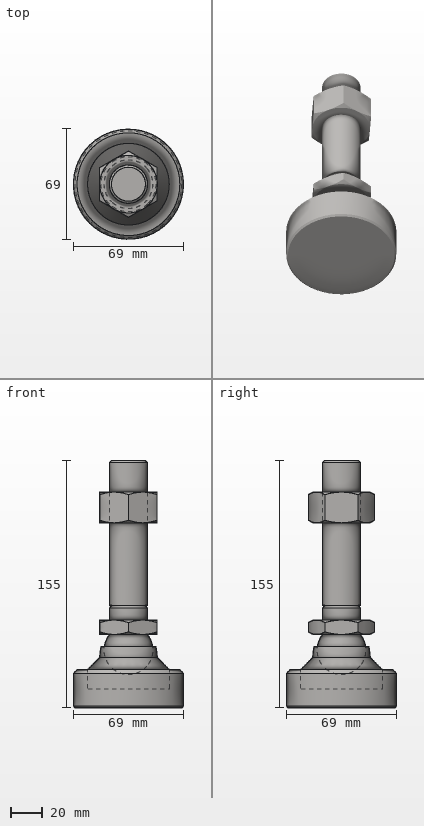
import cadquery as cq
import math

PAD_RADIUS = 69.0 / 2
PAD_HEIGHT = 24.0
PAD_TOP_CHAMFER = 2.3
PAD_BOTTOM_CHAMFER = 1.1

SOCKET_BASE_RADIUS = 25.5
COLLAR_BASE_RADIUS = 18.1
COLLAR_BASE_Z = 31.6
COLLAR_TOP_RADIUS = 17.2
COLLAR_TOP_Z = 38.5
COLLAR_BULGE = 0.2
SOCKET_BOTTOM_Z = PAD_HEIGHT / 2

BALL_RADIUS = 15.3
BALL_CENTER_Z = 36.3
STUD_RADIUS = 24.0 / 2
STUD_TOP_Z = 155.0
STUD_CHAMFER = 1.4
GROOVE_BOTTOM_Z = 62.5
GROOVE_WIDTH = 1.7
GROOVE_DEPTH = 1.4

HEX_ACROSS_FLATS = 36.0
HEX_CORNER_RADIUS = HEX_ACROSS_FLATS / 2 / math.cos(math.radians(30))
HEX_CORNER_TURN = 30
HEX_CHAMFER_ANGLE = math.radians(30)
SPINDLE_HEX_BOTTOM_Z = 46.0
SPINDLE_HEX_HEIGHT = 9.0
NUT_BOTTOM_Z = 116.0
NUT_HEIGHT = 19.2


def cylinder(radius, bottom_z, top_z):
    return cq.Workplane("XY").workplane(offset=bottom_z).circle(radius).extrude(top_z - bottom_z)


def ball():
    return cq.Workplane("XY").sphere(BALL_RADIUS).translate((0, 0, BALL_CENTER_Z))


def chamfered_hexagon(bottom_z, height):
    """Hexagonal prism whose corners are turned off by a shallow cone at both ends."""
    flat_radius = HEX_ACROSS_FLATS / 2
    corner_drop = (HEX_CORNER_RADIUS - flat_radius) * math.tan(HEX_CHAMFER_ANGLE)
    prism = (
        cq.Workplane("XY")
        .polygon(6, 2 * HEX_CORNER_RADIUS)
        .extrude(height)
        .rotate((0, 0, 0), (0, 0, 1), HEX_CORNER_TURN)
    )
    turned_blank = (
        cq.Workplane("XZ")
        .moveTo(0, 0)
        .lineTo(flat_radius, 0)
        .lineTo(HEX_CORNER_RADIUS, corner_drop)
        .lineTo(HEX_CORNER_RADIUS, height - corner_drop)
        .lineTo(flat_radius, height)
        .lineTo(0, height)
        .close()
        .revolve(360, (0, 0, 0), (0, 1, 0))
    )
    return prism.intersect(turned_blank).translate((0, 0, bottom_z))


def make_pad():
    pad = cylinder(PAD_RADIUS, 0, PAD_HEIGHT)
    pad = pad.faces(">Z").edges().chamfer(PAD_TOP_CHAMFER)
    pad = pad.faces("<Z").edges().chamfer(PAD_BOTTOM_CHAMFER)
    socket_recess = cylinder(SOCKET_BASE_RADIUS, SOCKET_BOTTOM_Z, PAD_HEIGHT)
    return pad.cut(socket_recess)


def make_socket():
    collar_middle = (
        (COLLAR_BASE_RADIUS + COLLAR_TOP_RADIUS) / 2 + COLLAR_BULGE,
        (COLLAR_BASE_Z + COLLAR_TOP_Z) / 2,
    )
    body = (
        cq.Workplane("XZ")
        .moveTo(0, SOCKET_BOTTOM_Z)
        .lineTo(SOCKET_BASE_RADIUS, SOCKET_BOTTOM_Z)
        .lineTo(SOCKET_BASE_RADIUS, PAD_HEIGHT)
        .lineTo(COLLAR_BASE_RADIUS, COLLAR_BASE_Z)
        .threePointArc(collar_middle, (COLLAR_TOP_RADIUS, COLLAR_TOP_Z))
        .lineTo(0, COLLAR_TOP_Z)
        .close()
        .revolve(360, (0, 0, 0), (0, 1, 0))
    )
    return body.cut(ball())


def make_spindle():
    stud = cylinder(STUD_RADIUS, SPINDLE_HEX_BOTTOM_Z, STUD_TOP_Z)
    stud = stud.faces(">Z").edges().chamfer(STUD_CHAMFER)
    groove = (
        cq.Workplane("XZ")
        .moveTo(STUD_RADIUS, GROOVE_BOTTOM_Z)
        .lineTo(STUD_RADIUS - GROOVE_DEPTH, GROOVE_BOTTOM_Z + GROOVE_WIDTH)
        .lineTo(STUD_RADIUS, GROOVE_BOTTOM_Z + GROOVE_WIDTH)
        .close()
        .revolve(360, (0, 0, 0), (0, 1, 0))
    )
    hexagon = chamfered_hexagon(SPINDLE_HEX_BOTTOM_Z, SPINDLE_HEX_HEIGHT)
    return stud.cut(groove).union(hexagon).union(ball())


def make_nut():
    bore = cylinder(STUD_RADIUS, NUT_BOTTOM_Z, NUT_BOTTOM_Z + NUT_HEIGHT)
    return chamfered_hexagon(NUT_BOTTOM_Z, NUT_HEIGHT).cut(bore)


pad = make_pad()
socket = make_socket()
spindle = make_spindle()
nut = make_nut()

result = cq.Compound.makeCompound([pad.val(), socket.val(), spindle.val(), nut.val()])